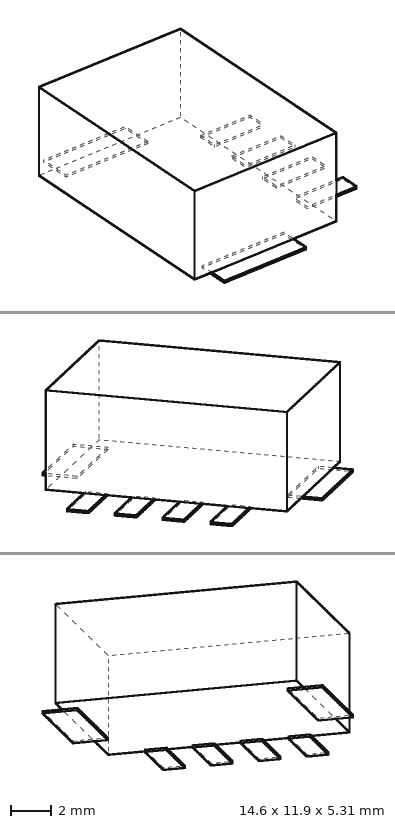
import cadquery as cq

overall_width = 14.64
overall_depth = 11.86
overall_height = 5.31
housing_width = 12.62
housing_depth = 9.0

lead_thickness = 0.12
housing_height = overall_height - lead_thickness

pin_count = 4
pin_pitch = 2.5
pin_width = 1.13
pin_length = 3.13

tab_length = 1.82
tab_width = 5.2
tab_front = 1.1


def make_housing():
    """Plain rectangular block resting on top of the leads."""
    return (
        cq.Workplane("XY")
        .workplane(offset=lead_thickness)
        .center(0, housing_depth / 2)
        .rect(housing_width, housing_depth)
        .extrude(housing_height)
    )


def make_lead(size_x, size_y, center_x, center_y):
    """Thin rectangular strip with its bottom at Z = 0."""
    return (
        cq.Workplane("XY")
        .center(center_x, center_y)
        .rect(size_x, size_y)
        .extrude(lead_thickness)
    )


def make_pin(index):
    """Back pin, counted from the -X end of the row."""
    center_x = (index - (pin_count - 1) / 2) * pin_pitch
    center_y = overall_depth - pin_length / 2
    return make_lead(pin_width, pin_length, center_x, center_y)


def make_tab(side):
    """End tab on the -X side (side = -1) or the +X side (side = 1)."""
    center_x = side * (overall_width - tab_length) / 2
    center_y = tab_front + tab_width / 2
    return make_lead(tab_length, tab_width, center_x, center_y)


housing = make_housing()
pins = [make_pin(index) for index in range(pin_count)]
tabs = [make_tab(side) for side in (-1, 1)]

result = cq.Compound.makeCompound([housing.val(), *[lead.val() for lead in pins + tabs]])